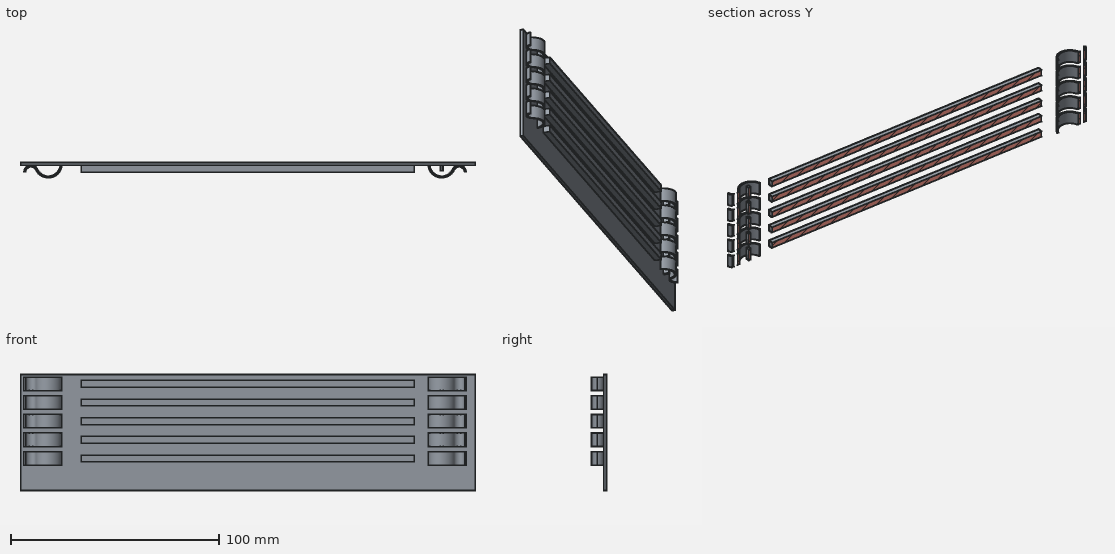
import cadquery as cq
import math

plate_length = 218.5
plate_height = 56.0
plate_thickness = 1.5

row_count = 5
row_pitch = 9.0
top_row_drop = 4.5

rail_start = 29.0
rail_length = 160.2
rail_size = 3.3

spring_height = 6.5
strip_thickness = 0.76
spring_depth = 6.0
valley_outer_radius = 6.5
hook_to_valley = 8.3
left_valley_x = 13.3
right_valley_x = 202.3
free_end_depth = 0.5
hook_sweep = 84.0
crest_sink = 0.1

post_width = 1.3
post_depth = 2.6

half_strip = strip_thickness / 2
valley_radius = valley_outer_radius - half_strip
valley_depth = spring_depth - valley_outer_radius
crest_offset = half_strip - crest_sink - valley_depth
hook_radius = (hook_to_valley**2 + crest_offset**2 - valley_radius**2) / (
    2 * (valley_radius - crest_offset)
)
hook_depth = hook_radius + half_strip - crest_sink
tangent_angle = math.atan2(hook_depth - valley_depth, hook_to_valley)
free_end_angle = math.asin((free_end_depth - valley_depth) / valley_outer_radius)


def row_height(row):
    """Z of the centre of a row, row 0 being the top one."""
    return plate_height - top_row_drop - row * row_pitch


def box_on_plate(x_center, z_center, length, depth, height):
    """Block standing on the plate front, sunk through the plate for a sound joint."""
    return cq.Workplane("XY").box(length, depth + plate_thickness, height).translate(
        (x_center, (plate_thickness - depth) / 2, z_center)
    )


def spring(valley_x, z_center, outward):
    """S-bent strip with its hook towards outward (-1 for -X, +1 for +X)."""

    def hook_point(radius, angle):
        along = hook_to_valley - radius * math.cos(angle)
        return (valley_x + outward * along, -(hook_depth - radius * math.sin(angle)))

    def valley_point(radius, angle):
        along = -radius * math.cos(angle)
        return (valley_x + outward * along, -(valley_depth + radius * math.sin(angle)))

    hook_large = hook_radius + half_strip
    hook_small = hook_radius - half_strip
    valley_large = valley_radius + half_strip
    valley_small = valley_radius - half_strip
    crest = math.pi / 2
    hook_tip = crest + math.radians(hook_sweep)
    joint = math.pi - tangent_angle

    profile = (
        cq.Workplane("XY")
        .moveTo(*hook_point(hook_large, hook_tip))
        .threePointArc(hook_point(hook_large, crest), hook_point(hook_large, tangent_angle))
        .threePointArc(valley_point(valley_small, crest), valley_point(valley_small, free_end_angle))
        .lineTo(*valley_point(valley_large, free_end_angle))
        .threePointArc(valley_point(valley_large, crest), valley_point(valley_large, joint))
        .threePointArc(hook_point(hook_small, crest), hook_point(hook_small, hook_tip))
        .close()
    )
    return profile.extrude(spring_height).translate((0, 0, z_center - spring_height / 2))


result = cq.Workplane("XY").box(plate_length, plate_thickness, plate_height, centered=False)

for row in range(row_count):
    z = row_height(row)
    rail = box_on_plate(rail_start + rail_length / 2, z, rail_length, rail_size, rail_size)
    post = box_on_plate(right_valley_x, z, post_width, post_depth, spring_height)
    result = result.union(rail).union(post)
    result = result.union(spring(left_valley_x, z, -1)).union(spring(right_valley_x, z, 1))